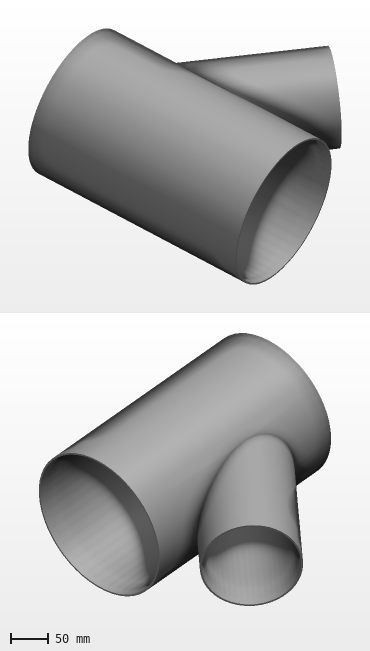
import cadquery as cq
import math

RUN_LENGTH = 347.0
RUN_OUTER_DIAMETER = 219.1
BRANCH_OUTER_DIAMETER = 139.7
WALL = 2.6
BRANCH_ANGLE = 45.0
OVERALL_Y = 370.92

run_radius = RUN_OUTER_DIAMETER / 2
branch_radius = BRANCH_OUTER_DIAMETER / 2
angle = math.radians(BRANCH_ANGLE)

axes_crossing_x = RUN_LENGTH / 2 - run_radius / math.tan(angle)

branch_tip_y = OVERALL_Y - run_radius
branch_length = (branch_tip_y - branch_radius * math.cos(angle)) / math.sin(angle)


def run_cylinder(radius):
    """Full-length cylinder along X, with the axes crossing at the origin."""
    return cq.Workplane("YZ", origin=(-axes_crossing_x, 0, 0)).circle(radius).extrude(RUN_LENGTH)


def branch_cylinder(radius):
    """Cylinder from the axes crossing out to the branch end."""
    branch_direction = (math.cos(angle), math.sin(angle), 0)
    base_plane = cq.Plane(origin=(0, 0, 0), xDir=(0, 0, 1), normal=branch_direction)
    return cq.Workplane(base_plane).circle(radius).extrude(branch_length)


outer_body = run_cylinder(run_radius).union(branch_cylinder(branch_radius))
run_bore = run_cylinder(run_radius - WALL)
branch_bore = branch_cylinder(branch_radius - WALL)

result = outer_body.cut(run_bore).cut(branch_bore)